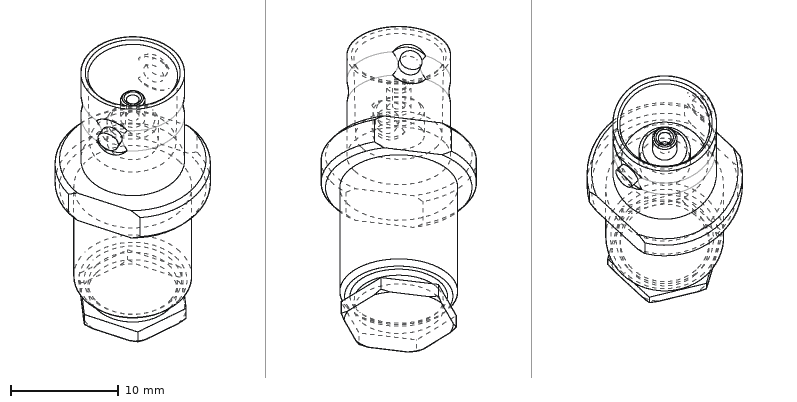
import cadquery as cq

total_height = 29.9
nut_top = 1.5
neck_top = 2.48
body_bottom = 2.9
body_chamfer_top = 3.4
flange_bottom = 15.07
flange_top = 18.63

body_radius = 5.5
nut_corner_radius = body_radius
nut_bottom_radius = 5.1
nut_chamfer_height = 0.2

neck_radius = 4.15
neck_flare_radius = 4.55
body_bottom_radius = 5.05

flange_diameter = 14.5
flange_radius = flange_diameter / 2
flange_flat_width = 12.5
flange_chamfer_width = 0.42
flange_chamfer_height = 0.55

barrel_radius = 4.85
groove_center = 25.77
groove_half_height = 1.32
groove_depth = 0.15

pin_radius = 1.05
pin_tip_radius = body_radius
pocket_floor_distance = 4.57
pocket_floor_radius = 2.03
pocket_rim_radius = 2.18

bore_mouth_radius = 4.43
bore_taper_radius = 4.2
bore_floor_radius = 4.05
bore_taper_top = 29.55
bore_floor = 20.93

insulator_radius = 2.4
insulator_top = 23.92
insulator_chamfer = 0.33
contact_radius = 1.15
contact_top = 26.65
contact_chamfer_width = 0.15
contact_chamfer_height = 0.25
contact_hole_mouth_radius = 0.8
contact_hole_radius = 0.6
contact_hole_depth = 2.4


def revolved(outline):
    """Turn a closed (radius, height) outline, drawn in the XZ plane, about the Z axis."""
    return outline.close().revolve(360, (0, 0, 0), (0, 1, 0))


def make_nut():
    """Hexagonal nut with corners on the X axis and its bottom corners turned off."""
    hexagon = cq.Workplane("XY").polygon(6, 2 * nut_corner_radius).extrude(nut_top)
    envelope = revolved(
        cq.Workplane("XZ")
        .moveTo(0, 0)
        .lineTo(nut_bottom_radius, 0)
        .lineTo(nut_corner_radius, nut_chamfer_height)
        .lineTo(nut_corner_radius, nut_top)
        .lineTo(0, nut_top)
    )
    return hexagon.intersect(envelope)


def make_body():
    """Neck, lower body and grooved barrel as one turned solid."""
    return revolved(
        cq.Workplane("XZ")
        .moveTo(0, nut_top)
        .lineTo(neck_radius, nut_top)
        .lineTo(neck_radius, neck_top)
        .lineTo(neck_flare_radius, body_bottom)
        .lineTo(body_bottom_radius, body_bottom)
        .lineTo(body_radius, body_chamfer_top)
        .lineTo(body_radius, flange_bottom)
        .lineTo(barrel_radius, flange_bottom)
        .lineTo(barrel_radius, groove_center - groove_half_height)
        .threePointArc(
            (barrel_radius - groove_depth, groove_center),
            (barrel_radius, groove_center + groove_half_height),
        )
        .lineTo(barrel_radius, total_height)
        .lineTo(0, total_height)
    )


def make_flange():
    """Round flange, chamfered top and bottom, cut to two flats facing -Y and +Y."""
    edge_radius = flange_radius - flange_chamfer_width
    disc = revolved(
        cq.Workplane("XZ")
        .moveTo(0, flange_bottom)
        .lineTo(edge_radius, flange_bottom)
        .lineTo(flange_radius, flange_bottom + flange_chamfer_height)
        .lineTo(flange_radius, flange_top - flange_chamfer_height)
        .lineTo(edge_radius, flange_top)
        .lineTo(0, flange_top)
    )
    flats = cq.Workplane("XY").box(2 * flange_radius, flange_flat_width, 2 * total_height)
    return disc.intersect(flats)


def make_pocket(side):
    """Tool for the flat, slightly flared pocket around one pin; side is -1 or +1 along Y."""
    flare = (pocket_rim_radius - pocket_floor_radius) / (barrel_radius - pocket_floor_distance)
    depth = body_radius - pocket_floor_distance
    return cq.Workplane(
        cq.Solid.makeCone(
            pocket_floor_radius,
            pocket_floor_radius + flare * depth,
            depth,
            cq.Vector(0, side * pocket_floor_distance, groove_center),
            cq.Vector(0, side, 0),
        )
    )


def make_pins():
    """Pin across the barrel along Y, its two ends rounded to a common turned diameter."""
    rod = cq.Workplane("XZ", origin=(0, 0, groove_center)).circle(pin_radius)
    rod = rod.extrude(2 * pin_tip_radius, both=True)
    return rod.intersect(cq.Workplane("XY").circle(pin_tip_radius).extrude(total_height))


def make_bore():
    """Tool for the socket bore."""
    return revolved(
        cq.Workplane("XZ")
        .moveTo(0, bore_floor)
        .lineTo(bore_floor_radius, bore_floor)
        .lineTo(bore_taper_radius, bore_taper_top)
        .lineTo(bore_mouth_radius, total_height)
        .lineTo(0, total_height)
    )


def make_insulator():
    """Chamfered insulator standing on the bore floor."""
    height = insulator_top - bore_floor
    post = cq.Workplane("XY", origin=(0, 0, bore_floor)).circle(insulator_radius).extrude(height)
    return post.faces(">Z").chamfer(insulator_chamfer)


def make_contact():
    """Centre contact with a chamfered tip and a countersunk blind hole."""
    countersink_depth = contact_hole_mouth_radius - contact_hole_radius
    hole_bottom = contact_top - contact_hole_depth
    return revolved(
        cq.Workplane("XZ")
        .moveTo(0, bore_floor)
        .lineTo(contact_radius, bore_floor)
        .lineTo(contact_radius, contact_top - contact_chamfer_height)
        .lineTo(contact_radius - contact_chamfer_width, contact_top)
        .lineTo(contact_hole_mouth_radius, contact_top)
        .lineTo(contact_hole_radius, contact_top - countersink_depth)
        .lineTo(contact_hole_radius, hole_bottom)
        .lineTo(0, hole_bottom)
    )


shell = make_nut().union(make_body()).union(make_flange())
for pocket_side in (-1, 1):
    shell = shell.cut(make_pocket(pocket_side))
shell = shell.union(make_pins()).cut(make_bore())
result = shell.union(make_insulator()).union(make_contact())